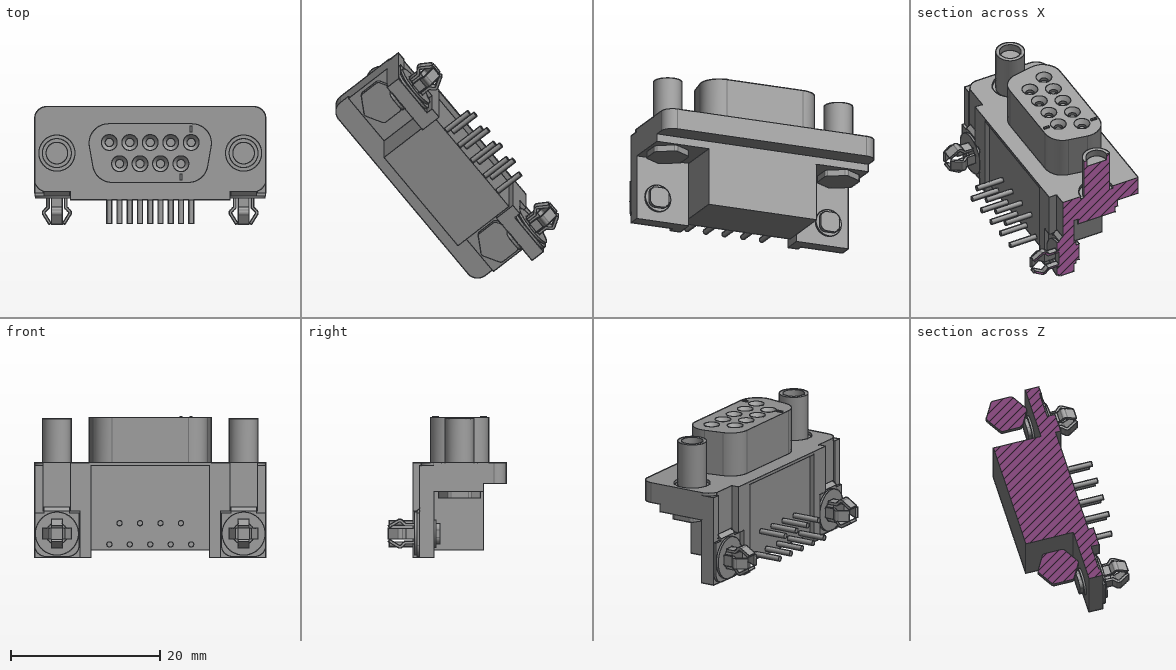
import cadquery as cq
import math


FLANGE_LENGTH = 30.99
FLANGE_BACK = 6.25
BOARD_FACE = -FLANGE_BACK
FLANGE_THICK = 2.8
FLANGE_CORNER = 1.65
LIP_HEIGHT = 0.4
BODY_BACK = 3.2
SHOULDER_DEPTH = 3.85
BODY_DEPTH = 11.7
BODY_HALF_WIDTH = 7.9
WINDOW_DEPTH = 0.7

FOOT_DEPTH = 12.7
FOOT_BACK = -3.42
FOOT_OUTER_FACE = -5.37
CHANNEL_FACE = -5.16
CHANNEL_INNER = 10.7
CHANNEL_OUTER = 14.35
POCKET_INNER = 9.39
POCKET_TOP = -6.45

SHROUD_HEIGHT = 6.05
SHROUD_HALF_HEIGHT = 3.93
SHROUD_HALF_WIDTH = 8.19
SHROUD_CORNER = 2.6
SHROUD_SLANT = math.radians(10)

CONTACT_PITCH = 2.74
ROW_SPACING = 2.84
UPPER_ROW_COUNT = 5
LOWER_ROW_COUNT = 4
CONTACT_HOLE_DIA = 1.12
CONTACT_SINK_DIA = 2.12
CONTACT_SINK_DEPTH = 0.6
CONTACT_HOLE_DEPTH = 1.0
PIN_DIA = 0.7
PIN_TIP = -9.45
PIN_ROOT = -4.0
PIN_ROW_NEAR = -8.1
INDEX_WIDTH = 0.25
INDEX_LENGTH = 0.8
INDEX_HEIGHT = 0.15
INDEX_OFFSET = 1.79

POST_SPACING = 25.0
POST_DIA = 3.88
POST_BORE_DIA = 2.9
POST_BORE_DEPTH = 1.0
POST_HEIGHT = 5.9
POST_SEAT_DIA = 4.84
POST_SEAT_DEPTH = 0.4
NUT_RADIUS = 2.9
NUT_CORNER = 0.5
NUT_HEIGHT = 0.85

CLIP_Z = -9.5
PLATE_HALF_WIDTH = 2.96
PLATE_TOP = -6.75
PLATE_BOTTOM = -12.55
PLATE_CORNER = 1.45
PLATE_FACE = -5.73
TAB_WIDTH = 3.42
TAB_SPAN = 0.5
DISC_RADIUS = 2.88
DISC_FACE = -6.04
SOCKET_FLATS = 2.9
PRONG_WIDTH = 1.46
PRONG_THICK = 0.36
PRONG_SHANK = 1.36
PRONG_BULGE = 1.95
PRONG_BEND_RADIUS = 0.5
PRONG_BEND_Y = -8.0
PRONG_NECK_ANGLE = math.radians(45)
PRONG_NOSE_ANGLE = math.radians(32)
PRONG_TIP = -9.56
RIVET_DISC_RADIUS = 1.85
RIVET_DISC_THICK = 0.28
RIVET_SIZE = 2.73
RIVET_CORNER = 0.85
RIVET_HEIGHT = 0.5

HALF_LENGTH = FLANGE_LENGTH / 2
SHROUD_ROWS = (
    (ROW_SPACING / 2, UPPER_ROW_COUNT),
    (-ROW_SPACING / 2, LOWER_ROW_COUNT),
)


def block(x_range, y_range, z_range):
    """Box between the given pairs of limits."""
    corner = (min(x_range), min(y_range), min(z_range))
    size = [max(limits) - min(limits) for limits in (x_range, y_range, z_range)]
    return cq.Workplane("XY").box(*size, centered=False).translate(corner)


def rod(x, z, radius, y_start, y_end):
    """Cylinder along Y."""
    plane = cq.Workplane("XZ", origin=(x, y_start, z))
    return plane.circle(radius).extrude(y_start - y_end)


def row_positions(count):
    """X places of a contact row centred on the part."""
    return [(i - (count - 1) / 2) * CONTACT_PITCH for i in range(count)]


def make_flange():
    depth = FLANGE_BACK - CHANNEL_FACE
    centre_y = (FLANGE_BACK + CHANNEL_FACE) / 2
    rim = (
        cq.Workplane("XY", origin=(0, centre_y, -FLANGE_THICK))
        .rect(FLANGE_LENGTH, depth)
        .extrude(FLANGE_THICK)
        .edges("|Z")
        .fillet(FLANGE_CORNER)
    )
    middle = block((-CHANNEL_INNER, CHANNEL_INNER), (BOARD_FACE, 0), (-FLANGE_THICK, 0))
    channel_edge = block(
        (-CHANNEL_OUTER, CHANNEL_OUTER), (CHANNEL_FACE, 0), (-FLANGE_THICK, 0)
    )
    return rim.union(middle).union(channel_edge)


def make_body():
    full_length = (-HALF_LENGTH, HALF_LENGTH)
    shoulder = block(full_length, (CHANNEL_FACE, BODY_BACK), (-SHOULDER_DEPTH, -LIP_HEIGHT))
    middle = (-BODY_HALF_WIDTH, BODY_HALF_WIDTH)
    core = block(middle, (BOARD_FACE, BODY_BACK), (-BODY_DEPTH, -LIP_HEIGHT))
    return shoulder.union(core)


def make_window():
    """Recess between the feet, open downwards, that the pins leave from."""
    middle = (-BODY_HALF_WIDTH, BODY_HALF_WIDTH)
    return block(middle, (BOARD_FACE, BOARD_FACE + WINDOW_DEPTH), (-BODY_DEPTH, -LIP_HEIGHT))


def make_foot(side):
    """Mounting foot at one end: pillar, tab channel and clip pocket."""
    foot_z = (-FOOT_DEPTH, -LIP_HEIGHT)
    back = block(
        (side * BODY_HALF_WIDTH, side * HALF_LENGTH), (CHANNEL_FACE, FOOT_BACK), foot_z
    )
    pillar = block(
        (side * BODY_HALF_WIDTH, side * CHANNEL_INNER), (BOARD_FACE, CHANNEL_FACE), foot_z
    )
    rail = block(
        (side * CHANNEL_OUTER, side * HALF_LENGTH), (FOOT_OUTER_FACE, CHANNEL_FACE), foot_z
    )
    base = block(
        (side * POCKET_INNER, side * HALF_LENGTH),
        (FOOT_OUTER_FACE, CHANNEL_FACE),
        (-FOOT_DEPTH, POCKET_TOP),
    )
    pocket = block(
        (side * POCKET_INNER, side * HALF_LENGTH),
        (BOARD_FACE, FOOT_OUTER_FACE),
        (-FOOT_DEPTH, POCKET_TOP),
    )
    return back.union(pillar).union(rail).union(base).cut(pocket)


def make_shroud():
    centre_y = SHROUD_HALF_HEIGHT - SHROUD_CORNER
    side_x = SHROUD_HALF_WIDTH - SHROUD_CORNER + SHROUD_CORNER / math.cos(SHROUD_SLANT)
    slope = math.tan(SHROUD_SLANT)
    top_x = side_x + slope * (SHROUD_HALF_HEIGHT - centre_y)
    bottom_x = side_x - slope * (SHROUD_HALF_HEIGHT + centre_y)
    outline = [
        (-top_x, SHROUD_HALF_HEIGHT),
        (top_x, SHROUD_HALF_HEIGHT),
        (bottom_x, -SHROUD_HALF_HEIGHT),
        (-bottom_x, -SHROUD_HALF_HEIGHT),
    ]
    shell = cq.Workplane("XY").polyline(outline).close().extrude(SHROUD_HEIGHT)
    return shell.edges("|Z").fillet(SHROUD_CORNER)


def make_contact_hole(x, y):
    """Countersunk blind hole in the socket face."""
    profile = [
        (0, 0),
        (CONTACT_SINK_DIA / 2, 0),
        (CONTACT_HOLE_DIA / 2, -CONTACT_SINK_DEPTH),
        (CONTACT_HOLE_DIA / 2, -CONTACT_HOLE_DEPTH),
        (0, -CONTACT_HOLE_DEPTH),
    ]
    hole = cq.Workplane("XZ").polyline(profile).close().revolve(360, (0, 0, 0), (0, 1, 0))
    return hole.translate((x, y, SHROUD_HEIGHT))


def make_index_mark(row_y, count):
    """Plain raised bar beside the last contact of a row."""
    x = row_positions(count)[-1]
    y = row_y + math.copysign(INDEX_OFFSET, row_y)
    bar = cq.Workplane("XY", origin=(x, y, SHROUD_HEIGHT))
    return bar.rect(INDEX_WIDTH, INDEX_LENGTH).extrude(INDEX_HEIGHT)


def make_post(x):
    base = cq.Workplane("XY", origin=(x, 0, -POST_SEAT_DEPTH))
    post = base.circle(POST_DIA / 2).extrude(POST_HEIGHT + POST_SEAT_DEPTH)
    return post.faces(">Z").workplane().hole(POST_BORE_DIA, POST_BORE_DEPTH)


def make_post_seat(x):
    """Shallow round recess around a jack post."""
    top = cq.Workplane("XY", origin=(x, 0, 0))
    return top.circle(POST_SEAT_DIA / 2).extrude(-POST_SEAT_DEPTH)


def make_nut(x):
    """Rounded hexagon nut below the shoulder, two corners on the Y axis."""
    nut = (
        cq.Workplane("XY")
        .polygon(6, 2 * NUT_RADIUS)
        .extrude(-NUT_HEIGHT)
        .edges("|Z")
        .fillet(NUT_CORNER)
    )
    return nut.rotate((0, 0, 0), (0, 0, 1), 90).translate((x, 0, -SHOULDER_DEPTH))


def make_plate(x):
    """Clip base plate with its sloped tab."""
    height = PLATE_TOP - PLATE_BOTTOM
    centre_z = (PLATE_TOP + PLATE_BOTTOM) / 2
    plate = (
        cq.Workplane("XZ", origin=(x, FOOT_OUTER_FACE, centre_z))
        .rect(2 * PLATE_HALF_WIDTH, height)
        .extrude(FOOT_OUTER_FACE - PLATE_FACE)
        .edges("|Y and <Z")
        .fillet(PLATE_CORNER)
    )
    tab_profile = [
        (CHANNEL_FACE, PLATE_TOP),
        (PLATE_FACE, PLATE_TOP),
        (PLATE_FACE, POCKET_TOP),
        (CHANNEL_FACE, POCKET_TOP + TAB_SPAN),
    ]
    tab = (
        cq.Workplane("YZ", origin=(x, 0, 0))
        .polyline(tab_profile)
        .close()
        .extrude(TAB_WIDTH / 2, both=True)
    )
    return plate.union(tab)


def make_prong():
    """One springy prong on the +X side of a clip axis at the origin."""
    bend_x = PRONG_BULGE - PRONG_BEND_RADIUS
    inner_radius = PRONG_BEND_RADIUS - PRONG_THICK

    def on_bend(radius, angle):
        return (bend_x + radius * math.cos(angle), PRONG_BEND_Y + radius * math.sin(angle))

    def neck_point(shank_x, radius):
        """Where the sloped neck, tangent to the bend, meets the shank."""
        start_x, start_y = on_bend(radius, PRONG_NECK_ANGLE)
        return (shank_x, start_y + (start_x - shank_x) / math.tan(PRONG_NECK_ANGLE))

    nose_x, nose_y = on_bend(PRONG_BEND_RADIUS, -PRONG_NOSE_ANGLE)
    tip_x = nose_x - (nose_y - PRONG_TIP) * math.tan(PRONG_NOSE_ANGLE)
    tip_inner = (
        tip_x - PRONG_THICK * math.cos(PRONG_NOSE_ANGLE),
        PRONG_TIP + PRONG_THICK * math.sin(PRONG_NOSE_ANGLE),
    )
    shank_inner = PRONG_SHANK - PRONG_THICK
    prong = (
        cq.Workplane("XY")
        .moveTo(PRONG_SHANK, PLATE_FACE)
        .lineTo(*neck_point(PRONG_SHANK, PRONG_BEND_RADIUS))
        .lineTo(*on_bend(PRONG_BEND_RADIUS, PRONG_NECK_ANGLE))
        .threePointArc(on_bend(PRONG_BEND_RADIUS, 0), (nose_x, nose_y))
        .lineTo(tip_x, PRONG_TIP)
        .lineTo(*tip_inner)
        .lineTo(*on_bend(inner_radius, -PRONG_NOSE_ANGLE))
        .threePointArc(on_bend(inner_radius, 0), on_bend(inner_radius, PRONG_NECK_ANGLE))
        .lineTo(*neck_point(shank_inner, inner_radius))
        .lineTo(shank_inner, PLATE_FACE)
        .close()
    )
    return prong.extrude(PRONG_WIDTH / 2, both=True)


def make_clip(x):
    """Board-lock clip: plate, disc with octagonal mouth, four prongs and rivet end."""
    clip = make_plate(x).union(rod(x, CLIP_Z, DISC_RADIUS, PLATE_FACE, DISC_FACE))
    octagon_dia = SOCKET_FLATS / math.cos(math.pi / 8)
    mouth = (
        cq.Workplane("XZ", origin=(0, PLATE_FACE, 0))
        .polygon(8, octagon_dia)
        .extrude(PLATE_FACE - DISC_FACE)
        .rotate((0, 0, 0), (0, 1, 0), 180 / 8)
        .translate((x, 0, CLIP_Z))
    )
    clip = clip.cut(mouth)
    for quarter in range(4):
        prong = make_prong().rotate((0, 0, 0), (0, 1, 0), 90 * quarter)
        clip = clip.union(prong.translate((x, 0, CLIP_Z)))
    rivet_face = FOOT_BACK + RIVET_DISC_THICK
    rivet_disc = rod(x, CLIP_Z, RIVET_DISC_RADIUS, rivet_face, FOOT_BACK)
    rivet_stub = (
        cq.Workplane("XZ", origin=(x, rivet_face, CLIP_Z))
        .rect(RIVET_SIZE, RIVET_SIZE)
        .extrude(-RIVET_HEIGHT)
        .edges("|Y")
        .fillet(RIVET_CORNER)
    )
    return clip.union(rivet_disc).union(rivet_stub)


def make_pins():
    """Two staggered rows of solder pins leaving the recessed face."""
    pin_rows = (
        (PIN_ROW_NEAR, LOWER_ROW_COUNT),
        (PIN_ROW_NEAR - ROW_SPACING, UPPER_ROW_COUNT),
    )
    return [
        rod(x, z, PIN_DIA / 2, PIN_ROOT, PIN_TIP)
        for z, count in pin_rows
        for x in row_positions(count)
    ]


result = make_flange().union(make_body()).union(make_shroud())

for row_y, count in SHROUD_ROWS:
    for x in row_positions(count):
        result = result.cut(make_contact_hole(x, row_y))
    result = result.union(make_index_mark(row_y, count))

for side in (-1, 1):
    post_x = side * POST_SPACING / 2
    result = result.union(make_foot(side))
    result = result.cut(make_post_seat(post_x)).union(make_post(post_x))
    result = result.union(make_nut(post_x)).union(make_clip(post_x))

result = result.cut(make_window())
for pin in make_pins():
    result = result.union(pin)